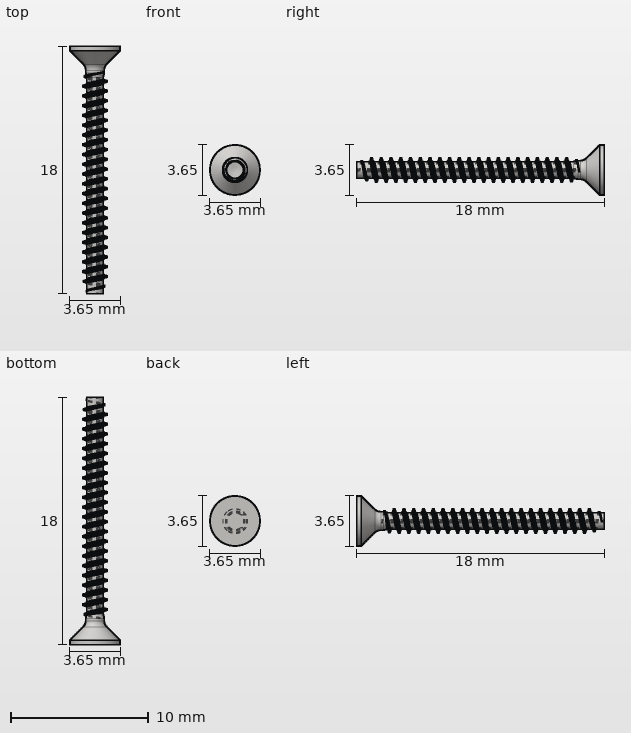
import math
import cadquery as cq


LENGTH = 18.0
HEAD_DIAMETER = 3.65
HEAD_RIM = 0.35
SHANK_RADIUS = 0.68
SHANK_END_DEPTH = 1.93
HEAD_CONE_ANGLE = 45
HEAD_FILLET_RADIUS = 0.61
CORE_RADIUS = 0.61
CORE_START_DEPTH = 2.25
TIP_DISH_DEPTH = 0.09

CREST_RADIUS = 0.9
CREST_WIDTH = 0.05
FLANK_ANGLE = 12
FOOT_HEIGHT_SHARE = 0.2
FOOT_ANGLE = 60
ROOT_OVERLAP = 0.04
FULL_THREAD_DEPTH = 2.55
FULL_THREAD_LENGTH = 14.33
FULL_THREAD_TURNS = 20.2
RUN_IN_TURNS = 1.2
RUN_OUT_TURNS = 1.4
RUN_IN_RADIUS = 0.65
RUN_OUT_RADIUS = 0.6
POINTS_PER_TURN = 16

HEAD_RADIUS = HEAD_DIAMETER / 2
PITCH = FULL_THREAD_LENGTH / FULL_THREAD_TURNS
ROOT_RADIUS = CORE_RADIUS - ROOT_OVERLAP
FLANK_SLOPE = math.tan(math.radians(FLANK_ANGLE))
FOOT_SLOPE = math.tan(math.radians(FOOT_ANGLE))


def make_body():
    """Revolve the head, neck and core around the screw axis."""
    cone_angle = math.radians(HEAD_CONE_ANGLE)
    fillet_rise = HEAD_FILLET_RADIUS * (1 - math.cos(cone_angle))
    cone_end_radius = SHANK_RADIUS + fillet_rise
    cone_end_depth = HEAD_RIM + (HEAD_RADIUS - cone_end_radius) / math.tan(cone_angle)
    fillet_end_depth = cone_end_depth + HEAD_FILLET_RADIUS * math.sin(cone_angle)
    fillet_center_radius = SHANK_RADIUS + HEAD_FILLET_RADIUS
    half_angle = cone_angle / 2
    fillet_middle = (
        fillet_center_radius - HEAD_FILLET_RADIUS * math.cos(half_angle),
        -fillet_end_depth + HEAD_FILLET_RADIUS * math.sin(half_angle),
    )
    return (
        cq.Workplane("XY")
        .lineTo(HEAD_RADIUS, 0)
        .lineTo(HEAD_RADIUS, -HEAD_RIM)
        .lineTo(cone_end_radius, -cone_end_depth)
        .threePointArc(fillet_middle, (SHANK_RADIUS, -fillet_end_depth))
        .lineTo(SHANK_RADIUS, -SHANK_END_DEPTH)
        .lineTo(CORE_RADIUS, -CORE_START_DEPTH)
        .lineTo(CORE_RADIUS, -LENGTH)
        .lineTo(0, -(LENGTH - TIP_DISH_DEPTH))
        .close()
        .revolve(360, (0, 0, 0), (0, 1, 0))
    )


def thread_profile(crest):
    """(radius, axial offset) corners of the thread, from its head-side root to its tip-side root."""
    foot = CORE_RADIUS + FOOT_HEIGHT_SHARE * (crest - CORE_RADIUS)
    crest_offset = CREST_WIDTH / 2
    foot_offset = crest_offset + FLANK_SLOPE * (crest - foot)
    root_offset = foot_offset + FOOT_SLOPE * (foot - ROOT_RADIUS)
    half = [(ROOT_RADIUS, root_offset), (foot, foot_offset), (crest, crest_offset)]
    head_side = [(radius, -offset) for radius, offset in half]
    return head_side + half[::-1]


def thread_section(start_turn, end_turn, start_crest, end_crest):
    """Solid thread stretch whose crest radius changes evenly.

    Turns are counted from the +X side at FULL_THREAD_DEPTH, toward the tip.
    """
    steps = math.ceil((end_turn - start_turn) * POINTS_PER_TURN)
    fractions = [i / steps for i in range(steps + 1)]
    rows = []
    for fraction in fractions:
        turn = start_turn + fraction * (end_turn - start_turn)
        crest = start_crest + fraction * (end_crest - start_crest)
        depth = FULL_THREAD_DEPTH + PITCH * turn
        angle = 2 * math.pi * turn
        rows.append([
            cq.Vector(radius * math.cos(angle), -(depth + offset), radius * math.sin(angle))
            for radius, offset in thread_profile(crest)
        ])
    curves = [cq.Edge.makeSpline(list(points), parameters=fractions) for points in zip(*rows)]
    sides = [cq.Face.makeRuledSurface(curves[i], curves[i - 1]) for i in range(len(curves))]
    caps = [cq.Face.makeFromWires(cq.Wire.makePolygon(row, close=True)) for row in (rows[0], rows[-1])]
    return cq.Solid.makeSolid(cq.Shell.makeShell(sides + caps))


def make_thread():
    """Run-in, full-height and run-out stretches of the right-hand thread."""
    end_turn = FULL_THREAD_TURNS + RUN_OUT_TURNS
    return [
        thread_section(-RUN_IN_TURNS, 0, RUN_IN_RADIUS, CREST_RADIUS),
        thread_section(0, FULL_THREAD_TURNS, CREST_RADIUS, CREST_RADIUS),
        thread_section(FULL_THREAD_TURNS, end_turn, CREST_RADIUS, RUN_OUT_RADIUS),
    ]


result = make_body()
for section in make_thread():
    result = result.union(cq.Workplane(section))